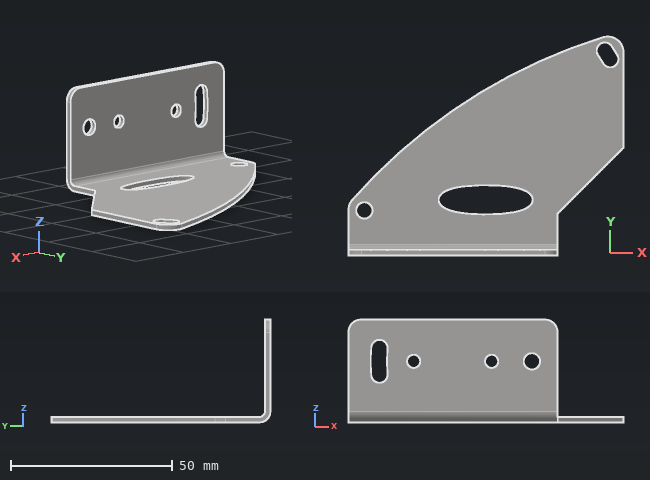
import cadquery as cq
import math

THICKNESS = 1.75
BEND_INNER_RADIUS = 1.75
BEND_OUTER_RADIUS = BEND_INNER_RADIUS + THICKNESS

FLANGE_WIDTH = 65.0
FLANGE_HEIGHT = 32.0
FLANGE_CORNER_RADIUS = 4.0

PLATE_LENGTH = 85.5
PLATE_DEPTH = 68.0
PLATE_CORNER_RADIUS = 5.0
CURVED_EDGE_RADIUS = 172.0
STEP_START_Y = 13.0
STEP_END_Y = STEP_START_Y + PLATE_LENGTH - FLANGE_WIDTH

PIVOT_DIAMETER = 5.0
SLOT_WIDTH = 5.0
PLATE_PIVOT = (PLATE_CORNER_RADIUS, 14.0)
PLATE_SLOT_RADIUS = 89.6
PLATE_SLOT_ANGLE = 32.6
PLATE_SLOT_SWEEP = 2.0
FLANGE_HOLE_HEIGHT = 19.0
FLANGE_PIVOT = (57.0, FLANGE_HOLE_HEIGHT)
FLANGE_SLOT_RADIUS = 47.5
FLANGE_SLOT_ANGLE = 180.0
FLANGE_SLOT_SWEEP = 10.0

MOUNT_HOLE_DIAMETER = 4.0
MOUNT_HOLE_XS = (20.3, 44.5)

WINDOW_CENTER = (42.65, 17.3)
WINDOW_LENGTH = 29.1
WINDOW_HEIGHT = 9.0
WINDOW_SIDE_TANGENT = 27.0
WINDOW_END_TANGENT = 9.0


def polar(center, radius, angle):
    """Point at a radius and an angle in degrees from a center."""
    turn = math.radians(angle)
    return (center[0] + radius * math.cos(turn), center[1] + radius * math.sin(turn))


def make_plate():
    """Flat base plate, from the bend to the curved far edge."""
    r = PLATE_CORNER_RADIUS
    near = PLATE_PIVOT
    far = (PLATE_LENGTH - r, PLATE_DEPTH - r)

    half_chord = math.dist(near, far) / 2
    chord_angle = math.degrees(math.atan2(far[1] - near[1], far[0] - near[0]))
    half_sweep = math.degrees(math.asin(half_chord / (CURVED_EDGE_RADIUS - r)))
    normal = chord_angle + 90
    near_normal = normal + half_sweep
    far_normal = normal - half_sweep
    edge_center = polar(near, CURVED_EDGE_RADIUS - r, near_normal + 180)

    return (
        cq.Workplane("XY")
        .moveTo(0, BEND_OUTER_RADIUS)
        .lineTo(FLANGE_WIDTH, BEND_OUTER_RADIUS)
        .lineTo(FLANGE_WIDTH, STEP_START_Y)
        .lineTo(PLATE_LENGTH, STEP_END_Y)
        .lineTo(PLATE_LENGTH, far[1])
        .threePointArc(polar(far, r, far_normal / 2), polar(far, r, far_normal))
        .threePointArc(
            polar(edge_center, CURVED_EDGE_RADIUS, normal),
            polar(near, r, near_normal),
        )
        .threePointArc(polar(near, r, (near_normal + 180) / 2), (0, near[1]))
        .close()
        .extrude(THICKNESS)
    )


def make_bend():
    """Quarter-round bend joining the plate to the flange."""
    axis = (BEND_OUTER_RADIUS, BEND_OUTER_RADIUS)
    return (
        cq.Workplane("YZ")
        .moveTo(*polar(axis, BEND_OUTER_RADIUS, 180))
        .threePointArc(polar(axis, BEND_OUTER_RADIUS, 225), polar(axis, BEND_OUTER_RADIUS, 270))
        .lineTo(*polar(axis, BEND_INNER_RADIUS, 270))
        .threePointArc(polar(axis, BEND_INNER_RADIUS, 225), polar(axis, BEND_INNER_RADIUS, 180))
        .close()
        .extrude(FLANGE_WIDTH)
    )


def make_flange():
    """Upright flange with two rounded top corners."""
    return (
        cq.Workplane("XY")
        .box(FLANGE_WIDTH, THICKNESS, FLANGE_HEIGHT - BEND_OUTER_RADIUS, centered=False)
        .translate((0, 0, BEND_OUTER_RADIUS))
        .edges("|Y and >Z")
        .fillet(FLANGE_CORNER_RADIUS)
    )


def plate_sketch():
    """Workplane on the underside of the plate, extruding up through it."""
    return cq.Workplane("XY")


def flange_sketch():
    """Workplane in X and Z on the inner flange face, extruding out through it."""
    return cq.Workplane("XZ", origin=(0, THICKNESS, 0))


def hole(sketch, center, diameter):
    """Round cutter through the sheet."""
    return sketch.moveTo(*center).circle(diameter / 2).extrude(THICKNESS)


def arc_slot(sketch, pivot, radius, angle, sweep):
    """Round-ended slot cutter whose centerline is an arc about the pivot."""
    half_width = SLOT_WIDTH / 2
    inner = radius - half_width
    outer = radius + half_width
    start = angle - sweep / 2
    end = angle + sweep / 2
    start_tip = polar(polar(pivot, radius, start), half_width, start - 90)
    end_tip = polar(polar(pivot, radius, end), half_width, end + 90)
    return (
        sketch.moveTo(*polar(pivot, outer, start))
        .threePointArc(polar(pivot, outer, angle), polar(pivot, outer, end))
        .threePointArc(end_tip, polar(pivot, inner, end))
        .threePointArc(polar(pivot, inner, angle), polar(pivot, inner, start))
        .threePointArc(start_tip, polar(pivot, outer, start))
        .close()
        .extrude(THICKNESS)
    )


def make_window():
    """Cutter for the oval window, a smooth closed curve through its four extreme points."""
    x, y = WINDOW_CENTER
    half_length = WINDOW_LENGTH / 2
    half_height = WINDOW_HEIGHT / 2
    right = (x + half_length, y)
    top = (x, y + half_height)
    left = (x - half_length, y)
    bottom = (x, y - half_height)
    up = (0, WINDOW_END_TANGENT)
    down = (0, -WINDOW_END_TANGENT)
    leftward = (-WINDOW_SIDE_TANGENT, 0)
    rightward = (WINDOW_SIDE_TANGENT, 0)
    return (
        plate_sketch()
        .spline(
            [right, top, left, bottom, right],
            tangents=[up, leftward, down, rightward, up],
            parameters=[0, 1, 2, 3, 4],
            scale=False,
        )
        .close()
        .extrude(THICKNESS)
    )


bracket = make_plate().union(make_bend()).union(make_flange())

bracket = bracket.cut(hole(plate_sketch(), PLATE_PIVOT, PIVOT_DIAMETER))
bracket = bracket.cut(
    arc_slot(plate_sketch(), PLATE_PIVOT, PLATE_SLOT_RADIUS, PLATE_SLOT_ANGLE, PLATE_SLOT_SWEEP)
)
bracket = bracket.cut(make_window())

bracket = bracket.cut(hole(flange_sketch(), FLANGE_PIVOT, PIVOT_DIAMETER))
bracket = bracket.cut(
    arc_slot(flange_sketch(), FLANGE_PIVOT, FLANGE_SLOT_RADIUS, FLANGE_SLOT_ANGLE, FLANGE_SLOT_SWEEP)
)
for hole_x in MOUNT_HOLE_XS:
    bracket = bracket.cut(hole(flange_sketch(), (hole_x, FLANGE_HOLE_HEIGHT), MOUNT_HOLE_DIAMETER))

result = bracket